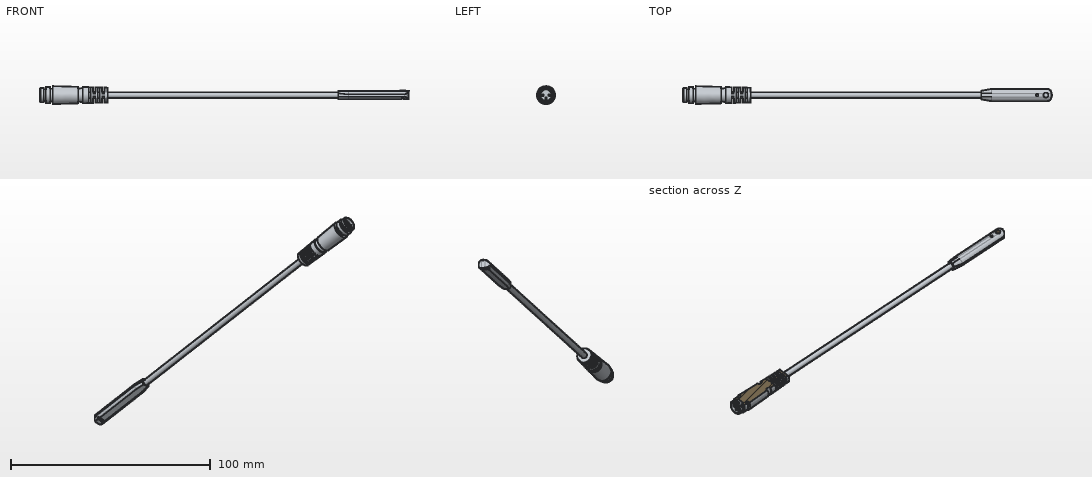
import cadquery as cq
import math


nose_end = 2.0
nose_radius = 3.65
nose_chamfer = 0.5
nose_neck_radius = 3.0
ring_start = 3.0
ring_end = 5.2
ring_radius = 4.15
ring_neck_radius = 3.3
grip_start = 6.4
grip_start_radius = 4.565
connector_length = 34.0
connector_end_radius = 3.78

waist_start = 19.2
waist_end = 21.4
waist_start_radius = 3.3
waist_end_radius = 3.6

groove_count = 4
first_groove_start = 24.5
groove_width = 1.12
groove_pitch = 2 * groove_width
core_radius = 1.6
web_thickness = 1.3

recess_radius = 2.85
recess_depth = 4.0
pin_diameter = 1.0
pin_setback = 0.8
pin_circle_radius = 1.68
pin_angles = (0, 180, 270)

cable_radius = 1.55

sensor_start = 149.3
sensor_end = 184.5
taper_end = 154.3
taper_start_half_width = 2.2
sensor_half_width = 3.1
sensor_top = 2.1
sensor_bottom = -2.1
end_corner_radius = 2.2

crown_flat_half_width = 0.84
crown_radius = 3.5
side_bottom = -0.7
belly_radius = 3.3
belly_flat_half_width = 1.7

screw_x = 181.7
screw_radius = 1.25
screw_height = 0.4
window_x = 177.3
window_diameter = 1.2
window_depth = 0.2
notch_width = 1.0
notch_depth = 0.5
lip_reach = 0.34
lip_thickness = 0.4
lip_width = 0.5


def grip_radius(x):
    """Radius of the long cone that runs from the grip to the cable end."""
    slope = (connector_end_radius - grip_start_radius) / (connector_length - grip_start)
    return grip_start_radius + slope * (x - grip_start)


def make_connector_blank():
    profile = [
        (0, 0),
        (0, nose_radius - nose_chamfer),
        (nose_chamfer, nose_radius),
        (nose_end, nose_radius),
        (nose_end, nose_neck_radius),
        (ring_start, nose_neck_radius),
        (ring_start, ring_radius),
        (ring_end, ring_radius),
        (ring_end, ring_neck_radius),
        (grip_start, ring_neck_radius),
        (grip_start, grip_start_radius),
        (waist_start, grip_radius(waist_start)),
        (waist_start, waist_start_radius),
        (waist_end, waist_end_radius),
        (waist_end, grip_radius(waist_end)),
        (connector_length, connector_end_radius),
        (connector_length, 0),
    ]
    return cq.Workplane("XZ").polyline(profile).close().revolve(360, (0, 0, 0), (1, 0, 0))


def make_groove(index):
    """Ring-shaped cutter that spares two webs, alternately upright and level."""
    start = first_groove_start + index * groove_pitch
    cutter_radius = 2 * grip_start_radius
    web_span = 2 * cutter_radius
    groove = (
        cq.Workplane("YZ", origin=(start, 0, 0))
        .circle(cutter_radius)
        .circle(core_radius)
        .extrude(groove_width)
    )
    upright = index % 2 == 0
    web_size = (web_thickness, web_span) if upright else (web_span, web_thickness)
    webs = cq.Workplane("YZ", origin=(start, 0, 0)).rect(*web_size).extrude(groove_width)
    return groove.cut(webs)


def make_recess():
    return cq.Workplane("YZ").circle(recess_radius).extrude(recess_depth)


def make_pins():
    """Contact pins that stand on the floor of the recess."""
    centres = []
    for angle in pin_angles:
        turn = math.radians(angle)
        centres.append((pin_circle_radius * math.cos(turn), pin_circle_radius * math.sin(turn)))
    return (
        cq.Workplane("YZ", origin=(pin_setback, 0, 0))
        .pushPoints(centres)
        .circle(pin_diameter / 2)
        .extrude(recess_depth - pin_setback)
    )


def make_connector():
    connector = make_connector_blank()
    for index in range(groove_count):
        connector = connector.cut(make_groove(index))
    return connector.cut(make_recess()).union(make_pins())


def make_cable():
    start_plane = cq.Plane(origin=(connector_length, 0, 0), xDir=(0, -1, 0), normal=(1, 0, 0))
    return cq.Workplane(start_plane).circle(cable_radius).extrude(sensor_start - connector_length)


def sensor_section(x, half_width):
    """Cross-section at x with a flat-topped crown, upright sides and a rounded belly."""
    width_ratio = half_width / sensor_half_width
    crown = crown_radius * width_ratio
    belly = belly_radius * width_ratio
    crown_center = sensor_top - math.sqrt(crown**2 - crown_flat_half_width**2)
    side_top = crown_center + math.sqrt(crown**2 - half_width**2)
    belly_flat = belly_flat_half_width * width_ratio
    return (
        cq.Workplane("YZ", origin=(x, 0, 0))
        .moveTo(-crown_flat_half_width, sensor_top)
        .lineTo(crown_flat_half_width, sensor_top)
        .radiusArc((half_width, side_top), crown)
        .lineTo(half_width, side_bottom)
        .radiusArc((belly_flat, sensor_bottom), belly)
        .lineTo(-belly_flat, sensor_bottom)
        .radiusArc((-half_width, side_bottom), belly)
        .lineTo(-half_width, side_top)
        .radiusArc((-crown_flat_half_width, sensor_top), crown)
        .close()
    )


def make_sensor_taper():
    """Narrowing stretch between the cable and the straight bar."""
    sections = [
        sensor_section(sensor_start, taper_start_half_width).val(),
        sensor_section(taper_end, sensor_half_width).val(),
    ]
    return cq.Workplane(cq.Solid.makeLoft(sections, True))


def make_sensor_bar():
    """Straight stretch of the sensor, rounded in plan at the tip."""
    bar_length = sensor_end - taper_end
    bar = sensor_section(taper_end, sensor_half_width).extrude(bar_length)
    outline = (
        cq.Workplane("XY", origin=(taper_end, 0, sensor_bottom))
        .rect(2 * bar_length, 2 * sensor_half_width)
        .extrude(sensor_top - sensor_bottom)
        .edges("|Z and >X")
        .fillet(end_corner_radius)
    )
    return bar.intersect(outline)


def make_screw_head():
    return (
        cq.Workplane("XY", origin=(screw_x, 0, 0))
        .circle(screw_radius)
        .extrude(sensor_top + screw_height)
    )


def make_window():
    return (
        cq.Workplane("XY", origin=(window_x, 0, sensor_top))
        .circle(window_diameter / 2)
        .extrude(-window_depth)
    )


def make_notch():
    """Cutter for the groove across the underside, below the screw."""
    return (
        cq.Workplane("XY", origin=(screw_x, 0, sensor_bottom))
        .rect(notch_width, 2 * sensor_half_width)
        .extrude(notch_depth)
    )


def make_lip():
    """Small wedge that carries the top strip past the tip."""
    return (
        cq.Workplane("XZ")
        .moveTo(sensor_end, sensor_top)
        .lineTo(sensor_end + lip_reach, sensor_top)
        .lineTo(sensor_end, sensor_top - lip_thickness)
        .close()
        .extrude(lip_width / 2, both=True)
    )


def make_sensor():
    sensor = make_sensor_taper().union(make_sensor_bar())
    sensor = sensor.union(make_screw_head())
    sensor = sensor.cut(make_window()).cut(make_notch())
    return sensor.union(make_lip())


connector = make_connector()
cable = make_cable()
sensor = make_sensor()

result = cq.Compound.makeCompound([connector.val(), cable.val(), sensor.val()])